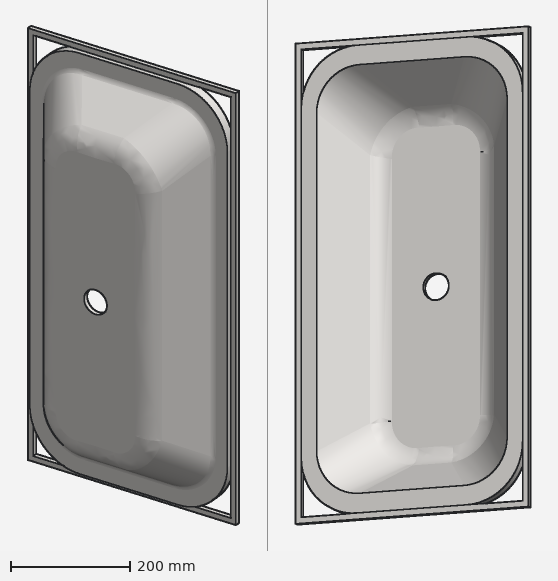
import cadquery as cq
import math

length = 820.0
width = 420.0
depth = 120.0

frame_bar = 11.0
frame_depth = 10.0

rim_depth = 20.0
rim_corner_radius = 100.0
rim_width = width - 2 * frame_bar
rim_length = length - 2 * frame_bar

mouth_width = 341.0
mouth_length = 730.0
bowl_corner_radius = 77.0
wall_angle = 33.0
floor_radius = 49.0
mouth_radius = 10.0
wall = 10.0
drain_diameter = 46.0

wall_slope = math.tan(math.radians(wall_angle))
wall_inset = wall / math.cos(math.radians(wall_angle))


def slab(size_x, size_z, front, back):
    """Centred rectangular slab between two distances in front of the back plane."""
    plane = cq.Workplane("XZ").workplane(offset=back)
    return plane.rect(size_x, size_z).extrude(front - back)


def bowl_section(distance, inset):
    """Rounded rectangle across the sloping bowl, drawn in inside its outer wall by inset."""
    shrink = 2 * (wall_slope * (distance - rim_depth) + inset)
    sketch = cq.Sketch().rect(mouth_width - shrink, mouth_length - shrink)
    return sketch.vertices().fillet(bowl_corner_radius)


def bowl_solid(back, front, inset, edge_radius):
    """Tapered bowl shape with a rounded edge around its floor."""
    body = (
        cq.Workplane("XZ").workplane(offset=back)
        .placeSketch(
            bowl_section(back, inset),
            bowl_section(front, inset).moved(cq.Location(cq.Vector(0, 0, front - back))),
        )
        .loft()
    )
    return body.faces("<Y").edges().fillet(edge_radius)


def make_frame():
    """Rectangular frame around the tub."""
    outer = slab(width, length, frame_depth, 0)
    return outer.cut(slab(rim_width, rim_length, frame_depth, 0))


def make_tub():
    """Hollow tub with a thick rim and a drain through the middle of its floor."""
    rim = slab(rim_width, rim_length, rim_depth, 0).edges("|Y").fillet(rim_corner_radius)
    tub = rim.union(bowl_solid(rim_depth, depth, 0, floor_radius))
    mouth_edges = tub.edges(
        cq.selectors.BoxSelector(
            (-mouth_width / 2 - wall, -rim_depth - wall / 2, -mouth_length / 2 - wall),
            (mouth_width / 2 + wall, -rim_depth + wall / 2, mouth_length / 2 + wall),
            boundingbox=True,
        )
    )
    tub = tub.newObject(mouth_edges.vals()).fillet(mouth_radius)
    tub = tub.cut(bowl_solid(0, depth - wall, wall_inset, floor_radius - wall))
    drain = cq.Workplane("XZ").circle(drain_diameter / 2).extrude(depth)
    return tub.cut(drain)


frame = make_frame()
tub = make_tub()

result = cq.Compound.makeCompound([frame.solids().val(), tub.solids().val()])